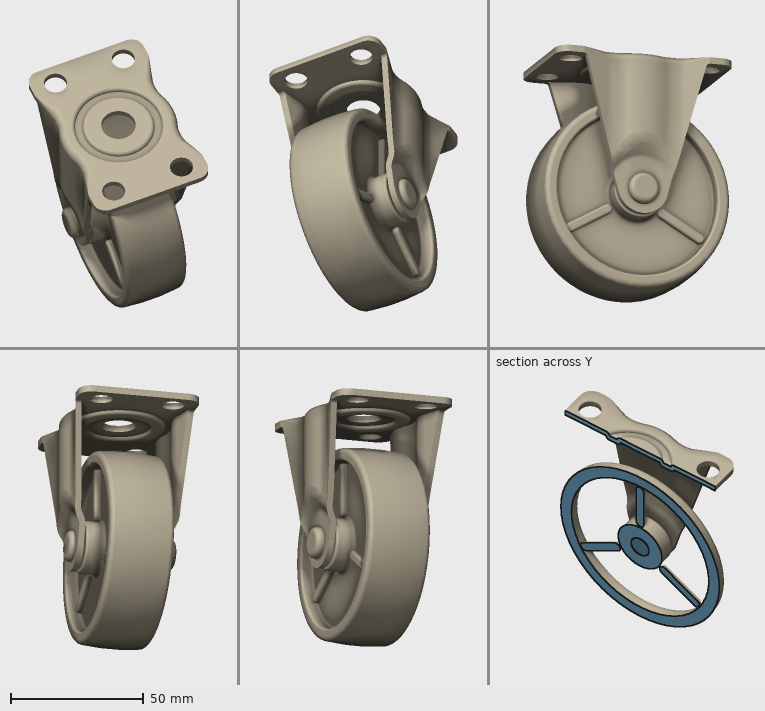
import cadquery as cq
import math


total_height = 90.0
wheel_diameter = 75.0
wheel_radius = wheel_diameter / 2
plate_top = total_height - wheel_radius

plate_length = 70.0
plate_width = 47.0
plate_thickness = 2.5
plate_corner_radius = 5.0
plate_bottom = plate_top - plate_thickness
bolt_spacing_x = 55.0
bolt_spacing_y = 28.0
bolt_hole_diameter = 8.7
center_hole_diameter = 13.0

ring_depth = 1.4
ring_outer_diameter = 35.8
ring_inner_diameter = 24.4
ring_bulge_fillet = 1.35

sheet = 2.3
crest_y = 22.6
valley_y = 20.5
valley_flat_start = 11.2
valley_flat_end = 12.7
valley_radius = 10.0
flare_angle = math.radians(15)
bend_radius = 3.0
leg_top_half_width = 24.0
leg_end_radius = 10.0
leg_end_center_z = 0.5
leg_root_radius = 1.4

dish_floor_y = 18.4
dish_floor_radius = 13.0
dish_wall_angle = math.radians(34)
dish_rim_radius = 6.75
dish_floor_fillet = 2.2

wheel_width = 25.0
tread_crown = 0.9
tread_corner = 1.8
rim_inner_radius = 31.95
rim_fillet = 1.0
web_thickness = 15.0
hub_length = 30.2
hub_radius = 10.1
hub_edge_fillet = 0.9
hub_base_fillet = 1.4
rib_count = 3
first_rib_angle = -90
rib_width = 3.8
rib_height = 2.25
rib_edge_fillet = 1.0
rib_inner_end = 10.7
rib_outer_end = 31.8

axle_diameter = 8.0
head_diameter = 12.0
head_edge_radius = 2.0
front_head_height = 3.15
back_head_height = 2.2

margin = 0.9
fade_scale = 0.02
tolerance = 0.01

bulge_angle = 2 * math.atan((crest_y - valley_y) / valley_flat_start)
valley_center_y = valley_y + valley_radius
flare_start_x = valley_flat_end + valley_radius * math.sin(flare_angle)
flare_start_y = valley_center_y - valley_radius * math.cos(flare_angle)
plate_edge_y = plate_width / 2
flare_end_x = flare_start_x + (plate_edge_y - flare_start_y) / math.tan(flare_angle)


def y_cylinder(diameter, start_y, end_y):
    """Cylinder about the wheel axis."""
    return cq.Workplane("XZ", origin=(0, start_y, 0)).circle(diameter / 2).extrude(start_y - end_y)


def valley_point(center_x, angle, inset):
    """Point on a valley arc, at a signed angle from its lowest point."""
    radius = valley_radius + inset
    return (center_x + radius * math.sin(angle), valley_center_y - radius * math.cos(angle))


def draw_wave(wire, inset):
    """Continue a wire along the wavy section from the -X flare start to the +X one."""
    flat = valley_y - inset
    bulge_side = valley_point(valley_flat_start, -bulge_angle, inset)
    bulge_middle = valley_point(valley_flat_start, -bulge_angle / 2, inset)
    flare_middle = valley_point(valley_flat_end, flare_angle / 2, inset)
    flare_start = valley_point(valley_flat_end, flare_angle, inset)

    def mirrored(point):
        return (-point[0], point[1])

    return (
        wire.threePointArc(mirrored(flare_middle), (-valley_flat_end, flat))
        .lineTo(-valley_flat_start, flat)
        .threePointArc(mirrored(bulge_middle), mirrored(bulge_side))
        .threePointArc((0, crest_y - inset), bulge_side)
        .threePointArc(bulge_middle, (valley_flat_start, flat))
        .lineTo(valley_flat_end, flat)
        .threePointArc(flare_middle, flare_start)
    )


def wave_block(inset):
    """Solid from the XZ plane out to the wavy surface, on the +Y side."""
    start_x, start_y = valley_point(valley_flat_end, flare_angle, inset)
    end_x = plate_length / 2 + margin
    end_y = start_y + (end_x - start_x) * math.tan(flare_angle)
    bottom = -wheel_radius
    wire = cq.Workplane("XY").workplane(offset=bottom).moveTo(-end_x, 0).lineTo(-end_x, end_y)
    wire = draw_wave(wire.lineTo(-start_x, start_y), inset)
    return wire.lineTo(end_x, end_y).lineTo(end_x, 0).close().extrude(plate_top - bottom)


def dish_tool(inset):
    """Space outside the dish floor and cone, turned about the axle."""
    floor_y = dish_floor_y - inset
    floor_radius = dish_floor_radius + inset * math.tan(dish_wall_angle / 2)
    outer_y = plate_width
    outer_radius = floor_radius + (outer_y - floor_y) / math.tan(dish_wall_angle)
    return (
        cq.Workplane("XY")
        .polyline([(0, floor_y), (floor_radius, floor_y), (outer_radius, outer_y), (0, outer_y)])
        .close()
        .revolve(360, (0, 0, 0), (0, 1, 0))
    )


def dished_block(inset):
    """Wavy block with the dish cut in and both edges of its conical wall rounded."""
    floor_center = cq.Vector(0, dish_floor_y - inset, 0)

    def on_floor(edge):
        return edge.Center().sub(floor_center).Length < tolerance

    block = wave_block(inset).cut(dish_tool(inset))
    wall_edges = block.faces("%CONE").edges()
    block = block.newObject(wall_edges.filter(lambda edge: not on_floor(edge)).vals())
    block = block.fillet(dish_rim_radius - inset)
    return block.edges("%CIRCLE").filter(on_floor).fillet(dish_floor_fillet + inset)


def leg_outline():
    """Tapered leg with a round lower end and flared root, as a prism along +Y."""
    rise = plate_bottom - leg_end_center_z
    run = math.hypot(leg_top_half_width, rise)
    taper = math.atan2(leg_top_half_width, rise) - math.asin(leg_end_radius / run)
    side_x = leg_end_radius * math.cos(taper)
    side_z = leg_end_center_z - leg_end_radius * math.sin(taper)
    root_length = leg_root_radius * math.tan(math.pi / 4 - taper / 2)
    root_x = leg_top_half_width - root_length * math.sin(taper)
    root_z = plate_bottom - root_length * math.cos(taper)
    half = (
        cq.Workplane("XZ")
        .moveTo(0, leg_end_center_z - leg_end_radius)
        .radiusArc((side_x, side_z), -leg_end_radius)
        .lineTo(root_x, root_z)
        .tangentArcPoint((leg_top_half_width + root_length, plate_bottom), relative=False)
        .lineTo(0, plate_bottom)
        .close()
        .extrude(-plate_edge_y)
    )
    return half.union(half.mirror("YZ"))


def make_leg():
    """Leg on the +Y side: a constant-thickness shell between two dished blocks."""
    shell = dished_block(0).cut(dished_block(sheet))
    return shell.intersect(leg_outline())


def corner_section(x, y, turn, scale):
    """Area between the square plate edge at (x, y) and the quarter round that replaces it.

    The section stands across an edge that is turned from the X axis by the given angle.
    """
    along = cq.Vector(math.cos(turn), math.sin(turn), 0)
    outward = cq.Vector(-math.sin(turn), math.cos(turn), 0)
    radius = bend_radius * scale
    overhang = margin * scale
    arc_offset = radius * (1 - math.sqrt(0.5))
    return (
        cq.Workplane(cq.Plane(cq.Vector(x, y, plate_top), outward, along))
        .moveTo(-radius, 0)
        .threePointArc((-arc_offset, -arc_offset), (0, -radius))
        .lineTo(overhang, -radius)
        .lineTo(overhang, overhang)
        .lineTo(-radius, overhang)
        .close()
    )


def bend_tools():
    """Material removed by the bend along the +Y plate edge, fading out along both flares."""
    path = cq.Workplane("XY").workplane(offset=plate_top).moveTo(-flare_start_x, flare_start_y)
    wave = corner_section(-flare_start_x, flare_start_y, -flare_angle, 1).sweep(draw_wave(path, 0))

    full = corner_section(flare_start_x, flare_start_y, flare_angle, 1)
    faded = corner_section(flare_end_x, plate_edge_y, flare_angle, fade_scale)
    flare = cq.Workplane(cq.Solid.makeLoft([full.wire().val(), faded.wire().val()], True))
    return [wave, flare, flare.mirror("YZ")]


def ring_bulge():
    """Flat ring standing out below the plate, under the groove."""
    return (
        cq.Workplane("XY")
        .workplane(offset=plate_bottom - ring_depth)
        .circle(ring_outer_diameter / 2)
        .circle(ring_inner_diameter / 2)
        .extrude(ring_depth)
        .faces("<Z")
        .edges()
        .fillet(ring_bulge_fillet)
    )


def ring_groove():
    """Groove in the plate top, its mouth widened by a quarter round on both sides."""
    outer = ring_outer_diameter / 2
    inner = ring_inner_diameter / 2
    floor_z = plate_top - ring_depth
    return (
        cq.Workplane("XZ")
        .moveTo(inner, plate_top)
        .radiusArc((inner + ring_depth, floor_z), ring_depth)
        .lineTo(outer - ring_depth, floor_z)
        .radiusArc((outer, plate_top), ring_depth)
        .close()
        .revolve(360, (0, 0, 0), (0, 1, 0))
    )


def make_plate():
    """Rounded plate with wavy long edges, the pressed ring and all its holes."""
    edge_block = wave_block(0)
    return (
        cq.Workplane("XY")
        .workplane(offset=plate_bottom)
        .rect(plate_length, plate_width)
        .extrude(plate_thickness)
        .edges("|Z")
        .fillet(plate_corner_radius)
        .intersect(edge_block.union(edge_block.mirror("XZ")))
        .union(ring_bulge())
        .cut(ring_groove())
        .faces(">Z")
        .workplane(origin=(0, 0, plate_top))
        .hole(center_hole_diameter)
        .faces(">Z")
        .workplane(origin=(0, 0, plate_top))
        .rect(bolt_spacing_x, bolt_spacing_y, forConstruction=True)
        .vertices()
        .hole(bolt_hole_diameter)
    )


def make_bracket():
    """Plate and its two legs, bent from one sheet."""
    leg = make_leg()
    bracket = make_plate().union(leg).union(leg.mirror("XZ"))
    for tool in bend_tools():
        bracket = bracket.cut(tool).cut(tool.mirror("XZ"))
    return bracket.cut(y_cylinder(axle_diameter, -plate_edge_y, plate_edge_y))


def round_circles(body, circle_radius, circle_y, fillet_radius):
    """Round the two circular edges of a given radius at +circle_y and -circle_y."""
    def matches(edge):
        return (
            math.isclose(edge.radius(), circle_radius, abs_tol=tolerance)
            and math.isclose(abs(edge.Center().y), circle_y, abs_tol=tolerance)
        )

    return body.edges("%CIRCLE").filter(matches).fillet(fillet_radius)


def make_rib(angle):
    """Low rounded-end bar on the +Y face of the web."""
    base_y = web_thickness / 2
    return (
        cq.Workplane("XZ", origin=(0, base_y, 0))
        .center((rib_inner_end + rib_outer_end) / 2, 0)
        .slot2D(rib_outer_end - rib_inner_end, rib_width)
        .extrude(-rib_height)
        .faces(">Y")
        .edges()
        .fillet(rib_edge_fillet)
        .rotate((0, 0, 0), (0, 1, 0), angle)
    )


def make_wheel():
    """Crowned wheel with a recessed web, a hub and ribs on both faces."""
    edge_radius = wheel_radius - tread_crown
    face_y = wheel_width / 2
    web_y = web_thickness / 2
    hub_y = hub_length / 2
    wheel = (
        cq.Workplane("XY")
        .moveTo(0, -face_y)
        .lineTo(edge_radius, -face_y)
        .threePointArc((wheel_radius, 0), (edge_radius, face_y))
        .lineTo(0, face_y)
        .close()
        .revolve(360, (0, 0, 0), (0, 1, 0))
    )
    wheel = round_circles(wheel, edge_radius, face_y, tread_corner)
    for side in (-1, 1):
        wheel = wheel.cut(y_cylinder(2 * rim_inner_radius, side * web_y, side * face_y))
    wheel = wheel.union(y_cylinder(2 * hub_radius, -hub_y, hub_y))
    wheel = round_circles(wheel, rim_inner_radius, face_y, rim_fillet)
    wheel = round_circles(wheel, rim_inner_radius, web_y, rim_fillet)
    wheel = round_circles(wheel, hub_radius, web_y, hub_base_fillet)
    wheel = round_circles(wheel, hub_radius, hub_y, hub_edge_fillet)
    for index in range(rib_count):
        rib = make_rib(first_rib_angle + index * 360 / rib_count)
        wheel = wheel.union(rib).union(rib.mirror("XZ"))
    return wheel.cut(y_cylinder(axle_diameter, -hub_y, hub_y))


def make_axle():
    """Rivet with a rounded head against the outside of each leg."""
    back_end = dish_floor_y + back_head_height
    front_end = -dish_floor_y - front_head_height
    back_head = y_cylinder(head_diameter, dish_floor_y, back_end)
    front_head = y_cylinder(head_diameter, front_end, -dish_floor_y)
    return (
        y_cylinder(axle_diameter, -dish_floor_y, dish_floor_y)
        .union(back_head.faces(">Y").edges().fillet(head_edge_radius))
        .union(front_head.faces("<Y").edges().fillet(head_edge_radius))
    )


bracket = make_bracket()
wheel = make_wheel()
axle = make_axle()

result = cq.Compound.makeCompound([body.solids().val() for body in (bracket, wheel, axle)])